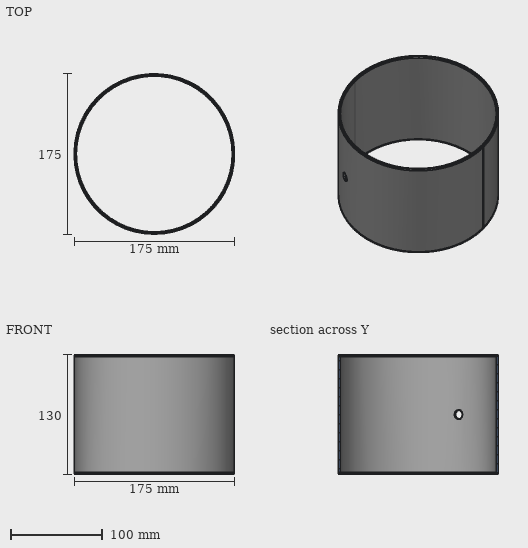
import cadquery as cq

outer_diameter = 175.0
height = 130.0
wall = 2.5
rim_bevel_height = 2.0
rim_bevel_depth = 0.7
slit_width = 1.2
slit_offset = 0.9
slit_cut_length = 4 * wall
hole_diameter = 10.0
hole_angle = 59.0

outer_radius = outer_diameter / 2
inner_radius = outer_radius - wall
rim_outer_radius = outer_radius - rim_bevel_depth
rim_inner_radius = inner_radius + rim_bevel_depth


def make_sleeve():
    """Thin tube with a steep bevel inside and outside each rim."""
    wall_section = [
        (inner_radius, rim_bevel_height),
        (rim_inner_radius, 0),
        (rim_outer_radius, 0),
        (outer_radius, rim_bevel_height),
        (outer_radius, height - rim_bevel_height),
        (rim_outer_radius, height),
        (rim_inner_radius, height),
        (inner_radius, height - rim_bevel_height),
    ]
    return cq.Workplane("XZ").polyline(wall_section).close().revolve(360, (0, 0), (0, 1))


def make_slit():
    """Full-height cut through the wall on the -X side, just to +Y of the centre."""
    outline = cq.Workplane("XY").center(-outer_radius, slit_offset).rect(slit_cut_length, slit_width)
    return outline.extrude(height)


def make_hole():
    """Radial hole at mid-height through one side of the wall."""
    drill = cq.Workplane("YZ").center(0, height / 2).circle(hole_diameter / 2).extrude(outer_diameter)
    return drill.rotate((0, 0, 0), (0, 0, 1), hole_angle)


result = make_sleeve().cut(make_slit()).cut(make_hole())